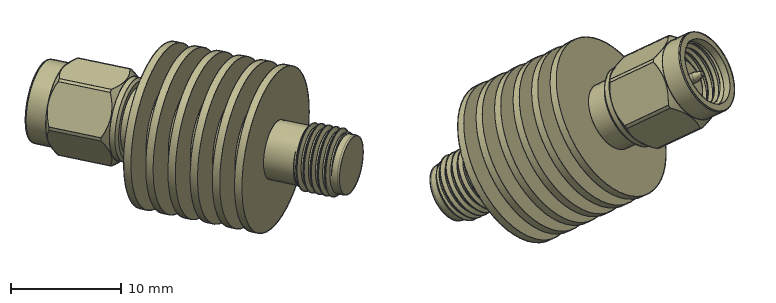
import cadquery as cq
import math

TOTAL_LENGTH = 30.48
OVERLAP = 0.05

COLLAR_RADIUS = 3.9
FRONT_CHAMFER_LENGTH = 0.12
FRONT_CHAMFER_DROP = 0.06
HEX_START = 2.05
HEX_END = 8.33
HEX_ACROSS_FLATS = 7.94
HEX_CORNER_RADIUS = 4.49
HEX_CHAMFER_RADIUS = 3.92
NUT_END = 9.12
NUT_END_CHAMFER = 0.25

SOCKET_RADIUS = 3.175
SOCKET_CREST_RADIUS = 2.82
SOCKET_DEPTH = 3.2
SOCKET_THREAD_START = 0.72
SOCKET_CREST_X = 0.70

INSULATOR_RADIUS = 2.24
INSULATOR_CHAMFER = 0.15
INSULATOR_FACE = 2.3
PIN_CLEARANCE_RADIUS = 0.63
PIN_CLEARANCE_DEPTH = 0.5
PIN_RADIUS = 0.47
PIN_TIP_RADIUS = 0.24
PIN_TIP = 0.57
PIN_TAPER_END = 1.4

NECK_RADIUS = 3.2
CORE_RADIUS = 4.27
FIN_RADIUS = 15.49 / 2
FIN_COUNT = 6
FIN_THICKNESS = 0.73
FIN_PITCH = 2.185
FIN_START = 11.36

BARREL_RADIUS = 2.775
BARREL_CHAMFER_LENGTH = 0.2
BARREL_CHAMFER_DROP = 0.04
THREAD_START = 25.95
THREAD_END = 29.71
THREAD_CREST_RADIUS = 3.175
THREAD_CREST_X = 26.28

THREAD_PITCH = 25.4 / 36
CREST_FLAT = 0.07
FLANK_SLOPE = math.tan(math.radians(30))

FIN_STACK_END = FIN_START + (FIN_COUNT - 1) * FIN_PITCH + FIN_THICKNESS


def cylinder(start, end, radius):
    return cq.Workplane("YZ", origin=(start, 0, 0)).circle(radius).extrude(end - start)


def turned(points):
    """Revolve an outline of (x, radius) points about the X axis."""
    return cq.Workplane("XY").polyline(points).close().revolve(360, (0, 0, 0), (1, 0, 0))


def thread_ridge(root_radius, crest_radius, crest_x, start, end):
    """Right-hand ridge along X, long enough to run past both start and end."""
    first_turn = math.ceil((crest_x - start) / THREAD_PITCH) + 1
    ridge_start = crest_x - first_turn * THREAD_PITCH
    turns = math.ceil((end - ridge_start) / THREAD_PITCH) + 1
    crest_half = CREST_FLAT / 2
    helix = cq.Wire.makeHelix(THREAD_PITCH, turns * THREAD_PITCH, root_radius)
    buried_radius = root_radius + math.copysign(OVERLAP, root_radius - crest_radius)
    buried_half = crest_half + abs(crest_radius - buried_radius) * FLANK_SLOPE
    profile = (
        cq.Workplane("XZ")
        .polyline([
            (buried_radius, -buried_half),
            (crest_radius, -crest_half),
            (crest_radius, crest_half),
            (buried_radius, buried_half),
        ])
        .close()
    )
    ridge = profile.sweep(cq.Workplane(obj=helix), isFrenet=True)
    ridge = ridge.rotate((0, 0, 0), (0, 0, 1), 180).rotate((0, 0, 0), (0, 1, 0), 90)
    return ridge.translate((ridge_start, 0, 0))


def hex_body():
    """Hexagon with flats on top and bottom, turned down at its corners and chamfered at its ends."""
    across_corners = HEX_ACROSS_FLATS / math.cos(math.pi / 6)
    hexagon = cq.Workplane("YZ", origin=(HEX_START, 0, 0)).polygon(6, across_corners)
    chamfer_run = HEX_CORNER_RADIUS - HEX_CHAMFER_RADIUS
    turned_limit = turned([
        (HEX_START, 0),
        (HEX_START, HEX_CHAMFER_RADIUS),
        (HEX_START + chamfer_run, HEX_CORNER_RADIUS),
        (HEX_END - chamfer_run, HEX_CORNER_RADIUS),
        (HEX_END, HEX_CHAMFER_RADIUS),
        (HEX_END, 0),
    ])
    return hexagon.extrude(HEX_END - HEX_START).intersect(turned_limit)


def plug_nut():
    collars = turned([
        (0, 0),
        (0, COLLAR_RADIUS - FRONT_CHAMFER_DROP),
        (FRONT_CHAMFER_LENGTH, COLLAR_RADIUS),
        (NUT_END - NUT_END_CHAMFER, COLLAR_RADIUS),
        (NUT_END, COLLAR_RADIUS - NUT_END_CHAMFER),
        (NUT_END, 0),
    ])
    socket = cylinder(0, SOCKET_DEPTH, SOCKET_RADIUS)
    return collars.union(hex_body()).cut(socket)


def socket_thread():
    """Ridge that begins under a 45 degree cone and ends in the socket floor."""
    ridge = thread_ridge(
        SOCKET_RADIUS,
        SOCKET_CREST_RADIUS,
        SOCKET_CREST_X,
        SOCKET_THREAD_START,
        SOCKET_DEPTH,
    )
    outer_radius = SOCKET_RADIUS + 2 * OVERLAP
    inner_radius = SOCKET_CREST_RADIUS - OVERLAP
    cone_start = SOCKET_THREAD_START - 2 * OVERLAP
    buried_end = SOCKET_DEPTH + OVERLAP
    limit = turned([
        (cone_start, outer_radius),
        (cone_start + outer_radius - inner_radius, inner_radius),
        (buried_end, inner_radius),
        (buried_end, outer_radius),
    ])
    return ridge.intersect(limit)


def contact():
    insulator = turned([
        (INSULATOR_FACE, 0),
        (INSULATOR_FACE, INSULATOR_RADIUS - INSULATOR_CHAMFER),
        (INSULATOR_FACE + INSULATOR_CHAMFER, INSULATOR_RADIUS),
        (SOCKET_DEPTH + OVERLAP, INSULATOR_RADIUS),
        (SOCKET_DEPTH + OVERLAP, 0),
    ])
    clearance = cylinder(INSULATOR_FACE, INSULATOR_FACE + PIN_CLEARANCE_DEPTH, PIN_CLEARANCE_RADIUS)
    pin = turned([
        (PIN_TIP, 0),
        (PIN_TIP, PIN_TIP_RADIUS),
        (PIN_TAPER_END, PIN_RADIUS),
        (SOCKET_DEPTH, PIN_RADIUS),
        (SOCKET_DEPTH, 0),
    ])
    return insulator.cut(clearance).union(pin)


def heat_sink():
    sink = cylinder(NUT_END - OVERLAP, FIN_START + OVERLAP, NECK_RADIUS)
    sink = sink.union(cylinder(FIN_START, FIN_STACK_END, CORE_RADIUS))
    for index in range(FIN_COUNT):
        fin_start = FIN_START + index * FIN_PITCH
        sink = sink.union(cylinder(fin_start, fin_start + FIN_THICKNESS, FIN_RADIUS))
    return sink


def rear_barrel():
    return turned([
        (FIN_STACK_END - OVERLAP, 0),
        (FIN_STACK_END - OVERLAP, BARREL_RADIUS),
        (TOTAL_LENGTH - BARREL_CHAMFER_LENGTH, BARREL_RADIUS),
        (TOTAL_LENGTH, BARREL_RADIUS - BARREL_CHAMFER_DROP),
        (TOTAL_LENGTH, 0),
    ])


def barrel_thread():
    """Ridge whose ends run out under 45 degree cones rising from the barrel."""
    ridge = thread_ridge(BARREL_RADIUS, THREAD_CREST_RADIUS, THREAD_CREST_X, THREAD_START, THREAD_END)
    outer_radius = THREAD_CREST_RADIUS + OVERLAP
    inner_radius = BARREL_RADIUS - 2 * OVERLAP
    cone_run = outer_radius - inner_radius
    cone_start = THREAD_START - 2 * OVERLAP
    cone_end = THREAD_END + 2 * OVERLAP
    limit = turned([
        (cone_start, inner_radius),
        (cone_start + cone_run, outer_radius),
        (cone_end - cone_run, outer_radius),
        (cone_end, inner_radius),
    ])
    return ridge.intersect(limit)


result = plug_nut().union(socket_thread()).union(contact())
result = result.union(heat_sink()).union(rear_barrel()).union(barrel_thread())